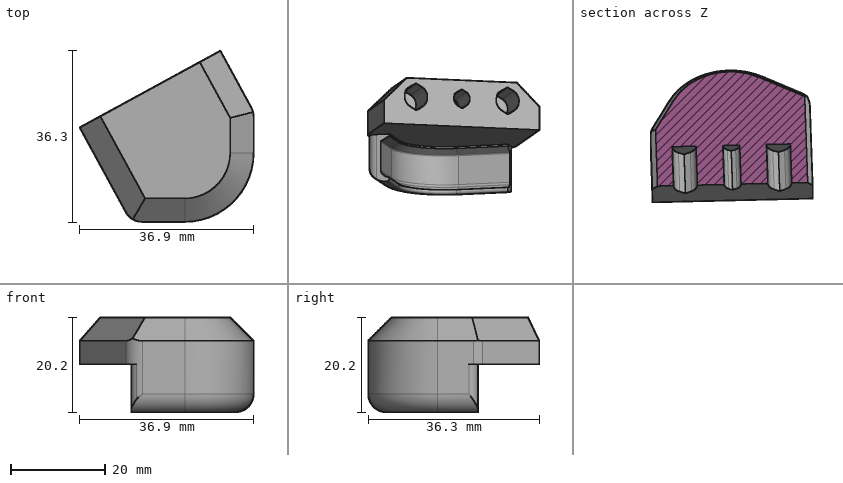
import cadquery as cq
import math

total_height = 20.15
block_height = 10.0
block_bottom = total_height - block_height
top_chamfer = 5.0

corner_radius = 14.67
front_side = 26.0
block_tilt = math.radians(28.6)
block_width = 34.0
block_left_length = 22.82
block_corner_fillet = 4.0

wall_thickness = 3.0
wall_bottom_fillet = 4.0
wall_end_fillet = 2.0
lip_depth = 4.86
lower_lip_thickness = 0.97
lower_blend_radius = 0.82
upper_lip_height = 0.39
upper_slope = math.radians(30)
upper_blend_radius = 0.25

outer_hole_diameter = 5.0
middle_hole_diameter = 3.5
hole_spacing = 10.0
hole_axis_below_top = 4.0
hole_depth = 10.0
hole_tip_slope = math.radians(30)

tilt_cos = math.cos(block_tilt)
tilt_sin = math.sin(block_tilt)
right_side = (block_width - front_side * tilt_cos) / tilt_sin
left_corner = (corner_radius - front_side, -corner_radius)
right_corner = (corner_radius, right_side - corner_radius)
left_end = (
    left_corner[0] - block_left_length * tilt_sin,
    left_corner[1] + block_left_length * tilt_cos,
)
end_middle = (
    left_end[0] + block_width / 2 * tilt_cos,
    left_end[1] + block_width / 2 * tilt_sin,
)
right_end = (
    left_end[0] + block_width * tilt_cos,
    left_end[1] + block_width * tilt_sin,
)

end_plane = cq.Plane(
    origin=(end_middle[0], end_middle[1], 0),
    xDir=(tilt_cos, tilt_sin, 0),
    normal=(tilt_sin, -tilt_cos, 0),
)
arc_middle = (corner_radius * math.sqrt(0.5), -corner_radius * math.sqrt(0.5))
clear_length = 2 * block_width


def rounded_corner_prism(left, top, height):
    """Upright prism behind the two outer walls, from x = left up to y = top."""
    return (
        cq.Workplane("XY")
        .moveTo(left, -corner_radius)
        .lineTo(0, -corner_radius)
        .threePointArc(arc_middle, (corner_radius, 0))
        .lineTo(corner_radius, top)
        .lineTo(left, top)
        .close()
        .extrude(height)
    )


def fillet_upright_edges(prism, corners, radius):
    """Round the upright edges of a prism that stand on the given plan corners."""
    for x, y in corners:
        edge = cq.selectors.NearestToPointSelector((x, y, total_height / 2))
        prism = prism.edges("|Z").edges(edge).fillet(radius)
    return prism


def part_footprint():
    """Full-height prism of the whole plan, rounded where the block meets the outer walls."""
    footprint = (
        cq.Workplane("XY")
        .moveTo(*left_end)
        .lineTo(*left_corner)
        .lineTo(0, -corner_radius)
        .threePointArc(arc_middle, (corner_radius, 0))
        .lineTo(*right_corner)
        .lineTo(*right_end)
        .close()
        .extrude(total_height)
    )
    return fillet_upright_edges(footprint, (left_corner, right_corner), block_corner_fillet)


def block():
    """Top block, chamfered along every upper edge except the one on the tilted end face."""
    half_width = block_width / 2
    shoulder = total_height - top_chamfer
    strip = (
        cq.Workplane(end_plane)
        .moveTo(-half_width, block_bottom)
        .lineTo(half_width, block_bottom)
        .lineTo(half_width, shoulder)
        .lineTo(half_width - top_chamfer, total_height)
        .lineTo(top_chamfer - half_width, total_height)
        .lineTo(-half_width, shoulder)
        .close()
        .extrude(clear_length)
    )
    corner = rounded_corner_prism(-clear_length, clear_length, total_height)
    corner = corner.faces(">Z").chamfer(top_chamfer)
    return strip.intersect(corner)


def gripping_wall():
    """Wall below the block with a lip at top and bottom, swept around the rounded corner."""
    lip_radius = lower_lip_thickness / 2
    lip_start = lip_depth - lip_radius

    arc_long = lower_blend_radius * math.sin(math.pi / 4)
    arc_short = lower_blend_radius - arc_long
    blend_drop = lip_start - wall_thickness
    wall_bottom = lower_lip_thickness + blend_drop

    upper_lip_bottom = block_bottom - upper_lip_height
    slope_foot = upper_lip_bottom - (lip_depth - wall_thickness) * math.tan(upper_slope)
    foot_turn = math.pi / 2 - upper_slope
    foot_tangent = upper_blend_radius * math.tan(foot_turn / 2)

    fillet_middle = wall_bottom_fillet * (1 - math.sqrt(0.5))
    section_plane = cq.Plane(
        origin=(left_corner[0], left_corner[1], 0),
        xDir=(0, 1, 0),
        normal=(1, 0, 0),
    )
    section = (
        cq.Workplane(section_plane)
        .moveTo(0, block_bottom)
        .lineTo(0, wall_bottom_fillet)
        .threePointArc((fillet_middle, fillet_middle), (wall_bottom_fillet, 0))
        .lineTo(lip_start, 0)
        .threePointArc((lip_depth, lip_radius), (lip_start, lower_lip_thickness))
        .tangentArcPoint(
            (lip_start - arc_long, lower_lip_thickness + arc_short), relative=False
        )
        .lineTo(wall_thickness + arc_short, wall_bottom - arc_long)
        .tangentArcPoint((wall_thickness, wall_bottom), relative=False)
        .lineTo(wall_thickness, slope_foot - foot_tangent)
        .tangentArcPoint(
            (
                wall_thickness + foot_tangent * math.cos(upper_slope),
                slope_foot + foot_tangent * math.sin(upper_slope),
            ),
            relative=False,
        )
        .lineTo(lip_depth, upper_lip_bottom)
        .lineTo(lip_depth, block_bottom)
        .close()
    )
    path = (
        cq.Workplane("XY")
        .moveTo(*left_corner)
        .lineTo(0, -corner_radius)
        .threePointArc(arc_middle, (corner_radius, 0))
        .lineTo(*right_corner)
    )
    rounded_ends = rounded_corner_prism(left_corner[0], right_corner[1], block_bottom)
    rounded_ends = fillet_upright_edges(rounded_ends, (left_corner, right_corner), wall_end_fillet)
    return section.sweep(path).intersect(rounded_ends)


def end_hole(offset, diameter):
    """Blind hole in the end face: a circle whose tangents meet in a point above and below."""
    radius = diameter / 2
    axis_height = total_height - hole_axis_below_top
    tip = radius / math.cos(hole_tip_slope)
    tangent_x = radius * math.sin(hole_tip_slope)
    tangent_y = radius * math.cos(hole_tip_slope)
    return (
        cq.Workplane(end_plane)
        .center(offset, axis_height)
        .moveTo(0, tip)
        .lineTo(tangent_x, tangent_y)
        .threePointArc((radius, 0), (tangent_x, -tangent_y))
        .lineTo(0, -tip)
        .lineTo(-tangent_x, -tangent_y)
        .threePointArc((-radius, 0), (-tangent_x, tangent_y))
        .close()
        .extrude(hole_depth)
    )


result = block().union(gripping_wall()).intersect(part_footprint())
for offset, diameter in (
    (-hole_spacing, outer_hole_diameter),
    (0, middle_hole_diameter),
    (hole_spacing, outer_hole_diameter),
):
    result = result.cut(end_hole(offset, diameter))